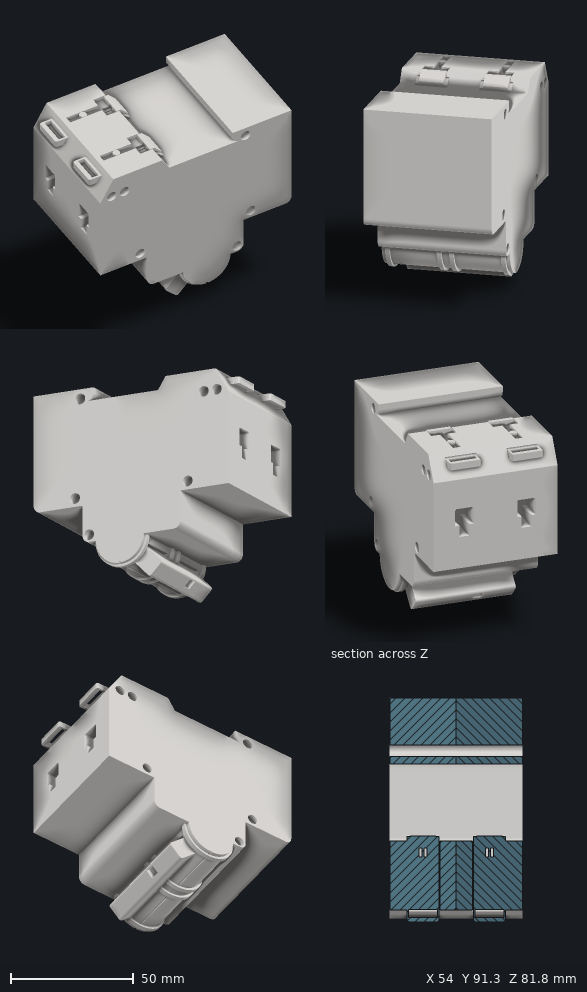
import cadquery as cq
import math


POLE_WIDTH = 27.0
LENGTH = 90.0
TOP_Z = 65.4
SHOULDER_Z = 15.8
NECK_FRONT_Y = 22.4
NECK_BACK_Y = 67.45
CORNER_RADIUS = 3.0
FRONT_BEVEL_RUN = 6.1
FRONT_BEVEL_DROP = 10.6

RAIL_DEPTH = 5.5
RAIL_FLOOR_Z = TOP_Z - RAIL_DEPTH
RAIL_BACK_Y = 62.3
RAIL_FRONT_Y = 32.6
RAIL_BEVEL_RUN = 3.5

RIVET_HOLE_DIAMETER = 4.6
SHOULDER_HOLE_INSET = 3.5
SHOULDER_HOLE_Z = SHOULDER_Z + 3.6
RIVET_HOLES_YZ = [
    (68.45, TOP_Z - 4.1),
    (11.5, TOP_Z - 9.0),
    (5.5, TOP_Z - 9.0),
    (NECK_BACK_Y + SHOULDER_HOLE_INSET, SHOULDER_HOLE_Z),
    (NECK_FRONT_Y - SHOULDER_HOLE_INSET, SHOULDER_HOLE_Z),
    (NECK_BACK_Y - CORNER_RADIUS, CORNER_RADIUS),
]

TERMINAL_WIDTH = 8.1
TERMINAL_TOP_Z = TOP_Z - 23.5
TERMINAL_HEIGHT = 7.5
TERMINAL_CORNER_RADIUS = 0.7
TERMINAL_SLOT_WIDTH = 4.3
TERMINAL_SLOT_HEIGHT = 4.9
TERMINAL_DEPTH = 10.95

CLIP_WIDTH = 13.3
CLIP_TOP_Z = TOP_Z - 2.6
TUNNEL_HEADROOM = 0.55
TUNNEL_SIDE_GAP = 0.2
CLIP_TIP_Y = 33.8
CLIP_BEVEL_Y = 31.1
CLIP_TIP_TOP_Z = TOP_Z - 4.5

NOSE_WIDTH = 10.4
NOSE_TIP_Z = TOP_Z - 3.6
NOSE_CREST_Y = 30.2
NOSE_FRONT_Y = 28.2
NOSE_RECESS_DEPTH = 0.6
NOSE_LIP_THICKNESS = 0.4

POCKET_WIDTH = 11.0
POCKET_FRONT_Y = 23.5
GUIDE_SLOT_WIDTH = 3.3
GUIDE_SLOT_FRONT_Y = 8.5
PEG_DIAMETER = 3.1
PEG_Y = 15.4
WINDOW_SIZE = 2.9
WINDOW_DEPTH = 1.8
RIB_WIDTH = 1.0
RIB_DROP = 0.5

LOOP_OVERHANG = 1.3
LOOP_CORNER_RADIUS = 1.0
LOOP_OPENING_WIDTH = 11.6
LOOP_OPENING_FRONT_Y = 0.7
LOOP_OPENING_BACK_Y = 3.65

AXIS_Y = 50.4
DRUM_RADIUS = 10.9
RIM_RADIUS = 12.0
CHEEK_WIDTH = 1.6
RIM_WIDTH = 1.9
PIN_HOLE_DIAMETER = 0.8
PIN_HOLE_DROP = 10.7
LEVER_TILT = 45
LEVER_THICKNESS = 8.1
LEVER_REACH = 19.9
LEVER_CORNER_RADIUS = 1.2
LEVER_SIDE_GAP = 5.2
LEVER_RELIEF_RADIUS = 12.5
LEVER_RELIEF_WIDTH = 4.9
DRUM_SLOT_TOP_Z = -2.7

MARKER_WIDTH = 3.9
MARKER_DEPTH = 2.3
MARKER_X = 6.0
MARKER_BOTTOM = -1.0


def box(x_center, width, y_start, y_end, z_start, z_end):
    """Box centred on x_center across X and spanning the given Y and Z ranges."""
    return (
        cq.Workplane("XY")
        .box(width, y_end - y_start, z_end - z_start, centered=(True, False, False))
        .translate((x_center, y_start, z_start))
    )


def prism(points, x_center, width):
    """Polygon of (y, z) points extruded along X, centred on x_center."""
    return cq.Workplane("YZ").workplane(offset=x_center - width / 2).polyline(points).close().extrude(width)


def rod(y, z, radius, x_start, width):
    """Cylinder along X starting at x_start."""
    return cq.Workplane("YZ").workplane(offset=x_start).center(y, z).circle(radius).extrude(width)


def half_rod(radius, x_start, width):
    """Lower half of a cylinder on the handle axis, its flat face on the bottom of the neck."""
    return (
        cq.Workplane("YZ")
        .workplane(offset=x_start)
        .moveTo(AXIS_Y - radius, 0)
        .threePointArc((AXIS_Y, -radius), (AXIS_Y + radius, 0))
        .close()
        .extrude(width)
    )


def pin_hole(x_center):
    """Small hole along the bottom of the drum, right across the pole."""
    return rod(AXIS_Y, -PIN_HOLE_DROP, PIN_HOLE_DIAMETER / 2, x_center - POLE_WIDTH / 2, POLE_WIDTH)


def housing_block(x_center):
    """Extruded side outline with rounded corners and the rivet holes."""
    arc_offset = CORNER_RADIUS * (1 - math.sqrt(0.5))
    block = (
        cq.Workplane("YZ")
        .workplane(offset=x_center - POLE_WIDTH / 2)
        .moveTo(0, SHOULDER_Z)
        .lineTo(0, TOP_Z - FRONT_BEVEL_DROP)
        .lineTo(FRONT_BEVEL_RUN, TOP_Z)
        .lineTo(RAIL_FRONT_Y - RAIL_BEVEL_RUN, TOP_Z)
        .lineTo(RAIL_FRONT_Y, RAIL_FLOOR_Z)
        .lineTo(RAIL_BACK_Y + CORNER_RADIUS, RAIL_FLOOR_Z)
        .threePointArc(
            (RAIL_BACK_Y + arc_offset, RAIL_FLOOR_Z + arc_offset),
            (RAIL_BACK_Y, RAIL_FLOOR_Z + CORNER_RADIUS),
        )
        .lineTo(RAIL_BACK_Y, TOP_Z)
        .lineTo(LENGTH, TOP_Z)
        .lineTo(LENGTH, SHOULDER_Z + CORNER_RADIUS)
        .threePointArc(
            (LENGTH - arc_offset, SHOULDER_Z + arc_offset),
            (LENGTH - CORNER_RADIUS, SHOULDER_Z),
        )
        .lineTo(NECK_BACK_Y, SHOULDER_Z)
        .lineTo(NECK_BACK_Y, CORNER_RADIUS)
        .threePointArc((NECK_BACK_Y - arc_offset, arc_offset), (NECK_BACK_Y - CORNER_RADIUS, 0))
        .lineTo(NECK_FRONT_Y + CORNER_RADIUS, 0)
        .threePointArc((NECK_FRONT_Y + arc_offset, arc_offset), (NECK_FRONT_Y, CORNER_RADIUS))
        .lineTo(NECK_FRONT_Y, SHOULDER_Z)
        .close()
        .extrude(POLE_WIDTH)
    )
    for y, z in RIVET_HOLES_YZ:
        block = block.cut(rod(y, z, RIVET_HOLE_DIAMETER / 2, x_center - POLE_WIDTH / 2, POLE_WIDTH))
    return block


def terminal_opening(x_center):
    """Keyhole-shaped pocket: a wide window over a narrow slot."""
    step_z = TERMINAL_TOP_Z - TERMINAL_HEIGHT
    window = box(x_center, TERMINAL_WIDTH, 0, TERMINAL_DEPTH, step_z, TERMINAL_TOP_Z)
    window = window.edges("|Y and >Z").fillet(TERMINAL_CORNER_RADIUS)
    slot = box(x_center, TERMINAL_SLOT_WIDTH, 0, TERMINAL_DEPTH, step_z - TERMINAL_SLOT_HEIGHT, step_z)
    return window.union(slot)


def cut_clip_openings(body, x_center, side):
    """Tunnel for the clip, and the T-shaped opening that shows it from the top.

    The tunnel is wider than the clip on the side toward the middle of the breaker.
    """
    tunnel_x = x_center - side * TUNNEL_SIDE_GAP / 2
    tunnel_width = CLIP_WIDTH + TUNNEL_SIDE_GAP
    tunnel = box(tunnel_x, tunnel_width, 0, RAIL_FRONT_Y, RAIL_FLOOR_Z, CLIP_TOP_Z + TUNNEL_HEADROOM)
    pocket = box(x_center, POCKET_WIDTH, POCKET_FRONT_Y, RAIL_FRONT_Y, CLIP_TOP_Z, TOP_Z)
    guide_slot = box(x_center, GUIDE_SLOT_WIDTH, GUIDE_SLOT_FRONT_Y, POCKET_FRONT_Y, CLIP_TOP_Z, TOP_Z)
    return body.cut(tunnel).cut(pocket).cut(guide_slot)


def clip_bar(x_center):
    """Flat bar from the overhanging loop at the front to the bevelled tip in the rail channel."""
    bar = prism(
        [
            (-LOOP_OVERHANG, RAIL_FLOOR_Z),
            (-LOOP_OVERHANG, CLIP_TOP_Z),
            (CLIP_BEVEL_Y, CLIP_TOP_Z),
            (CLIP_TIP_Y, CLIP_TIP_TOP_Z),
            (CLIP_TIP_Y, RAIL_FLOOR_Z),
        ],
        x_center,
        CLIP_WIDTH,
    )
    return bar.edges("|Z and <Y").fillet(LOOP_CORNER_RADIUS)


def clip_nose(x_center):
    """Block with a sloping back that stands on the tip of the clip."""
    return prism(
        [
            (NOSE_FRONT_Y, RAIL_FLOOR_Z),
            (NOSE_FRONT_Y, TOP_Z),
            (NOSE_CREST_Y, TOP_Z),
            (CLIP_TIP_Y, NOSE_TIP_Z),
            (CLIP_TIP_Y, RAIL_FLOOR_Z),
        ],
        x_center,
        NOSE_WIDTH,
    )


def clip_window(x_center):
    """Pocket in the clip that runs a little way into the nose, under its lip."""
    floor_z = CLIP_TOP_Z - WINDOW_DEPTH
    front_y = NOSE_FRONT_Y - WINDOW_SIZE
    pocket = box(x_center, WINDOW_SIZE, front_y, NOSE_FRONT_Y, floor_z, CLIP_TOP_Z)
    recess = box(
        x_center,
        WINDOW_SIZE,
        NOSE_FRONT_Y,
        NOSE_FRONT_Y + NOSE_RECESS_DEPTH,
        floor_z,
        TOP_Z - NOSE_LIP_THICKNESS,
    )
    rib = box(
        x_center,
        RIB_WIDTH,
        front_y,
        NOSE_FRONT_Y + NOSE_RECESS_DEPTH,
        floor_z,
        CLIP_TOP_Z - RIB_DROP,
    )
    return pocket.union(recess).cut(rib)


def clip_peg(x_center):
    """Round peg that rises from the clip to the top of the guide slot."""
    return (
        cq.Workplane("XY")
        .workplane(offset=CLIP_TOP_Z)
        .center(x_center, PEG_Y)
        .circle(PEG_DIAMETER / 2)
        .extrude(TOP_Z - CLIP_TOP_Z)
    )


def loop_opening(x_center):
    """Opening of the pull loop, right through the thickness of the clip."""
    return box(
        x_center,
        LOOP_OPENING_WIDTH,
        LOOP_OPENING_FRONT_Y,
        LOOP_OPENING_BACK_Y,
        RAIL_FLOOR_Z,
        CLIP_TOP_Z,
    )


def add_rail_clip(body, x_center, side):
    """Cut the openings for the rail clip and mould the clip into them."""
    clip = clip_bar(x_center).union(clip_nose(x_center)).union(clip_peg(x_center))
    clip = clip.cut(clip_window(x_center)).cut(loop_opening(x_center))
    return cut_clip_openings(body, x_center, side).union(clip)


def make_housing(side):
    """Pole housing with a half-round cheek at each end of its handle drum; side is -1 or 1."""
    x_center = side * POLE_WIDTH / 2
    body = housing_block(x_center).cut(terminal_opening(x_center))
    body = add_rail_clip(body, x_center, side)
    left_x = x_center - POLE_WIDTH / 2
    for cheek_x in (left_x, left_x + POLE_WIDTH - CHEEK_WIDTH):
        body = body.union(half_rod(DRUM_RADIUS, cheek_x, CHEEK_WIDTH))
    return body.cut(pin_hole(x_center))


def turn_to_lever(shape):
    """Turn a shape built pointing along -Y from the handle axis to the tilt of the lever."""
    return shape.rotate((0, AXIS_Y, 0), (1, AXIS_Y, 0), LEVER_TILT)


def make_lever(side):
    """Bar from the handle axis to its rounded end; side is -1 or 1 for the left or right pole."""
    width = POLE_WIDTH - LEVER_SIDE_GAP
    half_thickness = LEVER_THICKNESS / 2
    lever = box(side * width / 2, width, AXIS_Y - LEVER_REACH, AXIS_Y, -half_thickness, half_thickness)
    lever = lever.edges("|X and <Y").fillet(LEVER_CORNER_RADIUS)
    relief_x = 0 if side > 0 else -LEVER_RELIEF_WIDTH
    return turn_to_lever(lever).cut(rod(AXIS_Y, 0, LEVER_RELIEF_RADIUS, relief_x, LEVER_RELIEF_WIDTH))


def make_handle(side):
    """Half drum with a rim at each end, and a lever reaching to the middle of the breaker."""
    x_center = side * POLE_WIDTH / 2
    drum_width = POLE_WIDTH - 2 * CHEEK_WIDTH
    drum_x = x_center - drum_width / 2
    drum = half_rod(DRUM_RADIUS, drum_x, drum_width)
    slot_width = POLE_WIDTH - LEVER_SIDE_GAP - LEVER_RELIEF_WIDTH
    slot_x = side * (LEVER_RELIEF_WIDTH + slot_width / 2)
    half_thickness = LEVER_THICKNESS / 2
    slot = box(slot_x, slot_width, AXIS_Y - RIM_RADIUS, AXIS_Y, half_thickness, LEVER_THICKNESS)
    slot = turn_to_lever(slot).intersect(
        box(slot_x, slot_width, AXIS_Y - RIM_RADIUS, AXIS_Y, -RIM_RADIUS, DRUM_SLOT_TOP_Z)
    )
    drum = drum.cut(slot)
    for rim_x in (drum_x, drum_x + drum_width - RIM_WIDTH):
        drum = drum.union(half_rod(RIM_RADIUS, rim_x, RIM_WIDTH))
    below_neck = box(x_center, POLE_WIDTH, 0, LENGTH, -2 * LEVER_REACH, 0)
    lever = make_lever(side).intersect(below_neck)
    return drum.union(lever).cut(pin_hole(x_center))


def marker_recess():
    """Rectangular recess in the end face of the lever, reaching up to its rounded edge."""
    end_y = AXIS_Y - LEVER_REACH
    recess = box(
        MARKER_X,
        MARKER_WIDTH,
        end_y,
        end_y + MARKER_DEPTH,
        MARKER_BOTTOM,
        LEVER_THICKNESS / 2 - LEVER_CORNER_RADIUS,
    )
    return turn_to_lever(recess)


housings = [make_housing(side) for side in (-1, 1)]
left_handle = make_handle(-1)
right_handle = make_handle(1).cut(marker_recess())

result = cq.Compound.makeCompound(
    [*[housing.val() for housing in housings], left_handle.val(), right_handle.val()]
)